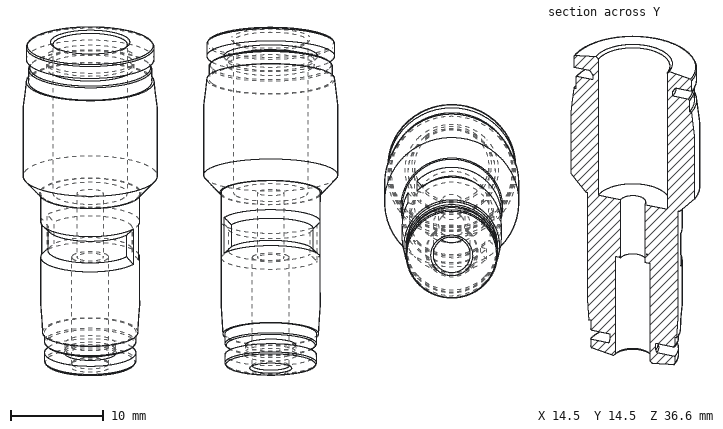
import cadquery as cq

total_height = 36.6

large_collar_radius = 13.8 / 2
large_neck_radius = 9.4 / 2
large_rim_radius = 13.32 / 2
large_body_radius = 14.5 / 2
large_bore_radius = 8.0 / 2
large_collar_bottom = 34.65
large_rim_top = 33.67
large_rim_bottom = 32.15
large_body_top = 29.17
large_body_bottom = 21.45

small_collar_radius = 9.9 / 2
small_neck_radius = 5.4 / 2
small_body_radius = 10.7 / 2
small_taper_radius = 5.15
small_bore_radius = 4.0 / 2
small_collar_top = 1.5
small_rim_bottom = 2.55
small_rim_top = 3.8
small_body_bottom = 6.8
small_body_top = 19.5

shoulder_radius = 5.5

collar_face_drop = 0.4
collar_edge_width = 0.1
collar_edge_height = 0.2
large_flare_width = 0.348
large_flare_height = 0.45
small_flare_width = 0.1
small_flare_height = 0.33
rim_chamfer = 0.15
bore_chamfer = 0.275

through_radius = 2.8 / 2
large_bore_floor = small_body_top
small_bore_depth = 12.3

recess_bottom = 12.3
recess_top = 16.3
recess_radius = 4.58
rib_width = 1.65


def make_body():
    profile = (
        cq.Workplane("XZ")
        .moveTo(0, small_rim_bottom)
        .lineTo(small_collar_radius - rim_chamfer, small_rim_bottom)
        .lineTo(small_collar_radius, small_rim_bottom + rim_chamfer)
        .lineTo(small_collar_radius, small_rim_top)
        .lineTo(small_taper_radius, small_rim_top)
        .lineTo(small_body_radius, small_body_bottom)
        .lineTo(small_body_radius, small_body_top)
        .lineTo(shoulder_radius, small_body_top)
        .lineTo(large_body_radius, large_body_bottom)
        .lineTo(large_body_radius, large_body_top)
        .lineTo(large_collar_radius, large_rim_bottom)
        .lineTo(large_rim_radius, large_rim_bottom)
        .lineTo(large_rim_radius, large_rim_top - rim_chamfer)
        .lineTo(large_rim_radius - rim_chamfer, large_rim_top)
        .lineTo(0, large_rim_top)
        .close()
    )
    return profile.revolve(360, (0, 0, 0), (0, 1, 0))


def make_collar(end_z, inner_z, rim_z, collar_radius, neck_radius, bore_radius,
                flare_width, flare_height):
    """Flange with a conical end face, on a neck flared where it meets the flange."""
    inward = 1 if rim_z > end_z else -1
    edge_z = end_z + inward * collar_face_drop
    profile = (
        cq.Workplane("XZ")
        .moveTo(0, end_z)
        .lineTo(bore_radius + bore_chamfer, end_z)
        .lineTo(collar_radius - collar_edge_width, edge_z)
        .lineTo(collar_radius, edge_z + inward * collar_edge_height)
        .lineTo(collar_radius, inner_z)
        .lineTo(neck_radius + flare_width, inner_z)
        .lineTo(neck_radius, inner_z + inward * flare_height)
        .lineTo(neck_radius, rim_z)
        .lineTo(0, rim_z)
        .close()
    )
    return profile.revolve(360, (0, 0, 0), (0, 1, 0))


def make_bore(end_z, floor_z, radius):
    """Blind tube socket with a chamfered mouth."""
    inward = 1 if floor_z > end_z else -1
    profile = (
        cq.Workplane("XZ")
        .moveTo(0, end_z)
        .lineTo(radius + bore_chamfer, end_z)
        .lineTo(radius, end_z + inward * bore_chamfer)
        .lineTo(radius, floor_z)
        .lineTo(0, floor_z)
        .close()
    )
    return profile.revolve(360, (0, 0, 0), (0, 1, 0))


def make_grip_recess():
    """Ring groove with 45 degree flanks, minus the ribs left standing on +X and -X."""
    depth = small_body_radius - recess_radius
    ring = (
        cq.Workplane("XZ")
        .moveTo(small_body_radius, recess_bottom)
        .lineTo(recess_radius, recess_bottom + depth)
        .lineTo(recess_radius, recess_top - depth)
        .lineTo(small_body_radius, recess_top)
        .close()
        .revolve(360, (0, 0, 0), (0, 1, 0))
    )
    ribs = cq.Workplane("XY").box(2 * large_body_radius, rib_width, 2 * total_height)
    return ring.cut(ribs)


large_collar = make_collar(
    total_height, large_collar_bottom, large_rim_top,
    large_collar_radius, large_neck_radius, large_bore_radius,
    large_flare_width, large_flare_height,
)
small_collar = make_collar(
    0, small_collar_top, small_rim_bottom,
    small_collar_radius, small_neck_radius, small_bore_radius,
    small_flare_width, small_flare_height,
)
through_hole = cq.Workplane("XY").circle(through_radius).extrude(total_height)

result = (
    make_body()
    .union(large_collar)
    .union(small_collar)
    .cut(make_grip_recess())
    .cut(make_bore(total_height, large_bore_floor, large_bore_radius))
    .cut(make_bore(0, small_bore_depth, small_bore_radius))
    .cut(through_hole)
)